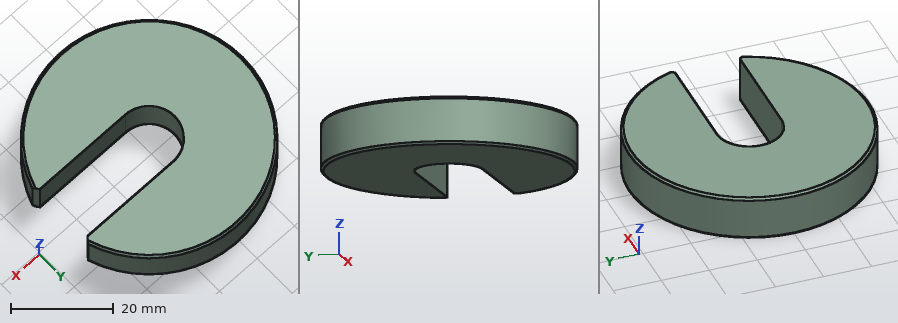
import cadquery as cq

outer_diameter = 49.95
thickness = 9.5
rim_chamfer = 0.5
slot_width = 13.5
mouth_wall_x = 22.8
mouth_rim_x = 23.65

outer_radius = outer_diameter / 2
slot_radius = slot_width / 2
mouth_rim_y = (outer_radius**2 - mouth_rim_x**2) ** 0.5


def chamfered_disc():
    disc = cq.Workplane("XY").circle(outer_radius).extrude(thickness)
    return disc.edges().chamfer(rim_chamfer)


def slot_cutter():
    """Round-bottomed slot that widens at its beveled mouth."""
    return (
        cq.Workplane("XY")
        .moveTo(0, slot_radius)
        .threePointArc((-slot_radius, 0), (0, -slot_radius))
        .lineTo(mouth_wall_x, -slot_radius)
        .lineTo(mouth_rim_x, -mouth_rim_y)
        .lineTo(outer_radius, -mouth_rim_y)
        .lineTo(outer_radius, mouth_rim_y)
        .lineTo(mouth_rim_x, mouth_rim_y)
        .lineTo(mouth_wall_x, slot_radius)
        .close()
        .extrude(thickness)
    )


result = chamfered_disc().cut(slot_cutter())